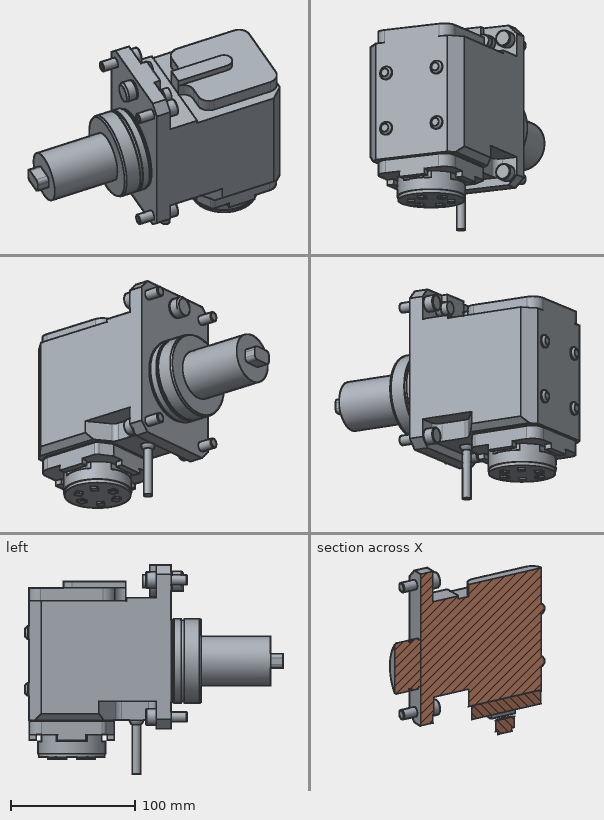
import cadquery as cq

WIDTH = 85.0
FLANGE_THICK = 12.0
FLANGE_TOP = 77.1
FLANGE_BOTTOM = -54.5
FLANGE_CORNER = 7.7
BODY_BACK = 114.2
BODY_TOP = 48.3
BODY_BOTTOM = -47.5
BACK_CHAMFER = 10.2
BELLY_CHAMFER = 5.2
LEDGE_TOP = 50.8
LEDGE_BACK = 35.9
NOTCH_TOP = -32.3
NOTCH_BACK = 58.0
NOTCH_WALL_X = 22.8
NOTCH_SLOPE = 1.9 / 2.5
NOTCH_ROUND = 6.2

COVER_HALF_WIDTH = 34.0
COVER_TOP = 58.7
COVER_FRONT = 45.5
COVER_ROUND = 9.3
NECK_ROUND = 8.7
NECK_FRONT = 36.3
NECK_WIDTH = 13.0
RIB_TOP = 63.8
RIB_BACK = 86.5

PIN_Z = 64.0
PIN_DIA = 16.2
PIN_NECK_DIA = 15.1
PIN_NECK_LENGTH = 1.0
PIN_LENGTH = 10.0
PIN_TIP_DIA = 14.0
PIN_TIP_LENGTH = 1.7
PIN_TIP_DROP = 0.93
BOSS_WIDTH = 25.3
BOSS_BACK = 17.2

CAP_X = 17.2
CAP_BASE_DIA = 11.6
CAP_DIA = 10.5
CAP_BACK = 22.8

BUTTON_SPACING = 45.6
BUTTON_DIA = 10.5
BUTTON_TIP_DIA = 6.5
BUTTON_HEIGHT = 3.1

BOLT_X = 34.0
BOLT_TOP_Z = 65.0
BOLT_BOTTOM_Z = -45.0
BOLT_DIA = 8.0
BOLT_TIP = 12.9
BOLT_HEAD_DIA = 13.0
BOLT_HEAD_HEIGHT = 8.3
BOLT_EDGE = 0.6

COLLAR_DIA = 68.0
COLLAR_LENGTH = 24.3
COLLAR_NECK_DIA = 66.0
COLLAR_NECK_LENGTH = 1.2
COLLAR_EDGE = 1.7
COLLAR_EDGE_DROP = 0.8
GROOVE_DIA = 65.5
GROOVE_START = 8.0
GROOVE_END = 10.5
SHANK_DIA = 40.0
SHANK_END = 80.0
TANG_WIDTH = 18.2
TANG_HEIGHT = 11.6
TANG_ROUND = 3.3
TANG_END = 90.0

HEAD_Y = 79.8
SPACER_INSET = 0.6
SPACER_HEIGHT = 1.0
PLATE_HALF_WIDTH = 34.0
PLATE_DEPTH = 68.5
PLATE_BOTTOM = -59.3
PLATE_BACK_ROUND = 10.0
PLATE_SLANT_X = 12.5
PLATE_SLANT_Y = 8.0
PLATE_SLANT_ROUND = 3.7
TAB_WIDTH = 22.8
TAB_THICK = 5.8
TAB_HEIGHT = 4.4
NUT_DIA = 54.5
NUT_ACROSS_FLATS = 48.5
NUT_FLAT_BOTTOM = -64.7
NUT_RIM_BOTTOM = -74.5
NUT_BOTTOM = -77.3
NUT_TOE_DIA = 53.3
LUG_COUNT = 6
LUG_RADIUS = 16.2
LUG_SIZE = 5.8
LUG_HEIGHT = 1.7

NOZZLE_Y = 27.8
BALL_DIA = 11.6
BALL_Z = -46.6
TUBE_DIA = 7.0
TUBE_BOTTOM = -91.0


def cylinder_y(diameter, x, z, y_start, y_end):
    """Cylinder along Y between two Y positions."""
    start = min(y_start, y_end)
    length = abs(y_end - y_start)
    return cq.Workplane(
        cq.Solid.makeCylinder(diameter / 2, length, cq.Vector(x, start, z), cq.Vector(0, 1, 0))
    )


def block(x_size, y_range, z_range):
    """Box centred on X = 0 that spans the given Y and Z ranges."""
    y_size = y_range[1] - y_range[0]
    z_size = z_range[1] - z_range[0]
    return (
        cq.Workplane("XY")
        .box(x_size, y_size, z_size, centered=(True, False, False))
        .translate((0, y_range[0], z_range[0]))
    )


def bolt_places():
    return [(x, z) for x in (-BOLT_X, BOLT_X) for z in (BOLT_TOP_Z, BOLT_BOTTOM_Z)]


def make_flange():
    flange = block(WIDTH, (0, FLANGE_THICK), (FLANGE_BOTTOM, FLANGE_TOP))
    return flange.edges("|Y").chamfer(FLANGE_CORNER)


def make_notch(side):
    """Cutter for the bolt relief low on one side (-1 or +1) of the body."""
    half = WIDTH / 2
    depth = half - NOTCH_WALL_X
    corner_y = NOTCH_BACK - depth * NOTCH_SLOPE
    outline = [
        (side * half, FLANGE_THICK),
        (side * half, NOTCH_BACK),
        (side * NOTCH_WALL_X, corner_y),
        (side * NOTCH_WALL_X, FLANGE_THICK),
    ]
    cutter = (
        cq.Workplane("XY", origin=(0, 0, FLANGE_BOTTOM))
        .polyline(outline)
        .close()
        .extrude(NOTCH_TOP - FLANGE_BOTTOM)
    )
    inner_edges = cutter.edges("|Z").edges("<X" if side > 0 else ">X")
    return inner_edges.fillet(NOTCH_ROUND)


def make_body():
    body = block(WIDTH, (0, BODY_BACK), (BODY_BOTTOM, BODY_TOP))
    body = body.edges("|Z and >Y").chamfer(BACK_CHAMFER)
    body = body.edges("|Y and <Z").chamfer(BELLY_CHAMFER)
    body = body.union(block(WIDTH, (0, LEDGE_BACK), (0, LEDGE_TOP)))
    for side in (-1, 1):
        body = body.cut(make_notch(side))
    return body


def make_cover():
    half_neck = NECK_WIDTH / 2
    height = COVER_TOP - BODY_TOP
    plate = block(2 * COVER_HALF_WIDTH, (COVER_FRONT, BODY_BACK), (BODY_TOP, COVER_TOP))
    plate = plate.edges("|Z").fillet(COVER_ROUND)
    flare_x = half_neck + NECK_ROUND
    flare_y = COVER_FRONT - NECK_ROUND
    flare = (
        cq.Workplane("XY", origin=(0, 0, BODY_TOP))
        .moveTo(-half_neck, NECK_FRONT)
        .lineTo(half_neck, NECK_FRONT)
        .lineTo(half_neck, flare_y)
        .radiusArc((flare_x, COVER_FRONT), NECK_ROUND)
        .lineTo(-flare_x, COVER_FRONT)
        .radiusArc((-half_neck, flare_y), NECK_ROUND)
        .close()
        .extrude(height)
    )
    rib = (
        cq.Workplane("XY", origin=(0, 0, BODY_TOP))
        .moveTo(-half_neck, NECK_FRONT)
        .lineTo(half_neck, NECK_FRONT)
        .lineTo(half_neck, RIB_BACK - half_neck)
        .threePointArc((0, RIB_BACK), (-half_neck, RIB_BACK - half_neck))
        .close()
        .extrude(RIB_TOP - BODY_TOP)
    )
    return plate.union(flare).union(rib)


def make_boss():
    """Raised pad behind the pin: round below, straight up to the flange top."""
    boss = cylinder_y(BOSS_WIDTH, 0, PIN_Z, 0, BOSS_BACK)
    return boss.union(block(BOSS_WIDTH, (0, BOSS_BACK), (PIN_Z, FLANGE_TOP)))


def make_cap(x):
    cap = cylinder_y(CAP_BASE_DIA, x, PIN_Z, 0, BOSS_BACK)
    return cap.union(cylinder_y(CAP_DIA, x, PIN_Z, 0, CAP_BACK))


def make_buttons():
    return (
        cq.Workplane("XZ", origin=(0, BODY_BACK, 0))
        .rect(BUTTON_SPACING, BUTTON_SPACING, forConstruction=True)
        .vertices()
        .circle(BUTTON_DIA / 2)
        .extrude(-BUTTON_HEIGHT)
        .faces(">Y")
        .edges()
        .chamfer((BUTTON_DIA - BUTTON_TIP_DIA) / 2)
    )


def make_housing():
    housing = make_body().union(make_flange()).union(make_cover()).union(make_boss())
    for x in (-CAP_X, CAP_X):
        housing = housing.union(make_cap(x))
    housing = housing.union(make_buttons())
    for x, z in bolt_places():
        housing = housing.cut(cylinder_y(BOLT_DIA, x, z, 0, FLANGE_THICK))
    ball_seat = cq.Workplane("XY").sphere(BALL_DIA / 2).translate((0, NOZZLE_Y, BALL_Z))
    return housing.cut(ball_seat)


def make_bolt(x, z):
    head_back = FLANGE_THICK + BOLT_HEAD_HEIGHT
    stem = cylinder_y(BOLT_DIA, x, z, -BOLT_TIP, FLANGE_THICK).faces("<Y").chamfer(BOLT_EDGE)
    head = cylinder_y(BOLT_HEAD_DIA, x, z, FLANGE_THICK, head_back).faces(">Y").chamfer(BOLT_EDGE)
    return stem.union(head)


def make_pin():
    """Necked pin whose lead-in cone is offset downward."""
    cone_start = PIN_LENGTH - PIN_TIP_LENGTH
    neck = cylinder_y(PIN_NECK_DIA, 0, PIN_Z, 0, -PIN_NECK_LENGTH)
    barrel = cylinder_y(PIN_DIA, 0, PIN_Z, -PIN_NECK_LENGTH, -cone_start)
    tip = (
        cq.Workplane("XZ", origin=(0, -cone_start, PIN_Z))
        .circle(PIN_DIA / 2)
        .workplane(offset=PIN_TIP_LENGTH)
        .center(0, -PIN_TIP_DROP)
        .circle(PIN_TIP_DIA / 2)
        .loft(ruled=True)
    )
    return neck.union(barrel).union(tip)


def make_shank():
    rim = COLLAR_DIA / 2
    profile = [
        (0, 0),
        (COLLAR_NECK_DIA / 2, 0),
        (COLLAR_NECK_DIA / 2, -COLLAR_NECK_LENGTH),
        (rim, -2 * COLLAR_NECK_LENGTH),
        (rim, -GROOVE_START),
        (GROOVE_DIA / 2, -GROOVE_START),
        (GROOVE_DIA / 2, -GROOVE_END),
        (rim, -GROOVE_END),
        (rim, COLLAR_EDGE - COLLAR_LENGTH),
        (rim - COLLAR_EDGE_DROP, -COLLAR_LENGTH),
        (SHANK_DIA / 2, -COLLAR_LENGTH),
        (SHANK_DIA / 2, -SHANK_END),
        (0, -SHANK_END),
    ]
    turned = cq.Workplane("XY").polyline(profile).close().revolve(360, (0, 0, 0), (0, 1, 0))
    tang = block(TANG_WIDTH, (-TANG_END, -SHANK_END), (-TANG_HEIGHT / 2, TANG_HEIGHT / 2))
    return turned.union(tang.edges("|Y").fillet(TANG_ROUND))


def make_plate():
    back = PLATE_DEPTH / 2
    half = PLATE_HALF_WIDTH
    outline = [
        (-half, back),
        (-half, -back + PLATE_SLANT_Y),
        (-half + PLATE_SLANT_X, -back),
        (half - PLATE_SLANT_X, -back),
        (half, -back + PLATE_SLANT_Y),
        (half, back),
    ]
    top = BODY_BOTTOM - SPACER_HEIGHT
    plate = cq.Workplane("XY", origin=(0, 0, top)).polyline(outline).close().extrude(PLATE_BOTTOM - top)
    plate = plate.edges("|Z and >Y").fillet(PLATE_BACK_ROUND)
    plate = plate.edges("|Z").edges("<X or >X").edges("<Y").fillet(PLATE_SLANT_ROUND)
    top_outline = plate.faces(">Z").wires().toPending()
    spacer = top_outline.offset2D(-SPACER_INSET).extrude(SPACER_HEIGHT, combine=False)
    return plate.union(spacer)


def make_tabs():
    """Four lips that hang from the middle of each plate side."""
    span = (PLATE_BOTTOM - TAB_HEIGHT, PLATE_BOTTOM)
    inner_block = block(
        2 * (PLATE_HALF_WIDTH - TAB_THICK),
        (TAB_THICK - PLATE_DEPTH / 2, PLATE_DEPTH / 2 - TAB_THICK),
        span,
    )
    side_tabs = block(2 * PLATE_HALF_WIDTH, (-TAB_WIDTH / 2, TAB_WIDTH / 2), span)
    end_tabs = block(TAB_WIDTH, (-PLATE_DEPTH / 2, PLATE_DEPTH / 2), span)
    return side_tabs.union(end_tabs).cut(inner_block)


def make_nut():
    """Round nut with four wrench flats next to the plate."""
    rim_height = PLATE_BOTTOM - NUT_RIM_BOTTOM
    flat_height = PLATE_BOTTOM - NUT_FLAT_BOTTOM
    plane = cq.Workplane("XY", origin=(0, 0, PLATE_BOTTOM))
    wrench_square = plane.rect(NUT_ACROSS_FLATS, NUT_ACROSS_FLATS).extrude(-flat_height)
    ring = plane.circle(NUT_DIA / 2).extrude(-rim_height)
    outside = plane.circle(NUT_DIA).extrude(-flat_height).cut(wrench_square)
    toe = plane.circle(NUT_TOE_DIA / 2).extrude(NUT_BOTTOM - PLATE_BOTTOM)
    return ring.union(toe).cut(outside)


def make_lugs():
    return (
        cq.Workplane("XY", origin=(0, 0, NUT_BOTTOM))
        .polarArray(LUG_RADIUS, 90, 360, LUG_COUNT)
        .rect(LUG_SIZE, LUG_SIZE)
        .extrude(-LUG_HEIGHT)
    )


def make_collet_head():
    head = make_plate().union(make_tabs()).union(make_nut()).union(make_lugs())
    return head.translate((0, HEAD_Y, 0))


def make_nozzle():
    ball = cq.Workplane("XY").sphere(BALL_DIA / 2).translate((0, 0, BALL_Z))
    tube = (
        cq.Workplane("XY", origin=(0, 0, BALL_Z))
        .circle(TUBE_DIA / 2)
        .extrude(TUBE_BOTTOM - BALL_Z)
    )
    return ball.union(tube).translate((0, NOZZLE_Y, 0))


housing = make_housing()
bolts = [make_bolt(x, z) for x, z in bolt_places()]
pin = make_pin()
shank = make_shank()
collet_head = make_collet_head()
nozzle = make_nozzle()

result = cq.Compound.makeCompound(
    [
        housing.val(),
        *[bolt.val() for bolt in bolts],
        pin.val(),
        shank.val(),
        collet_head.val(),
        nozzle.val(),
    ]
)